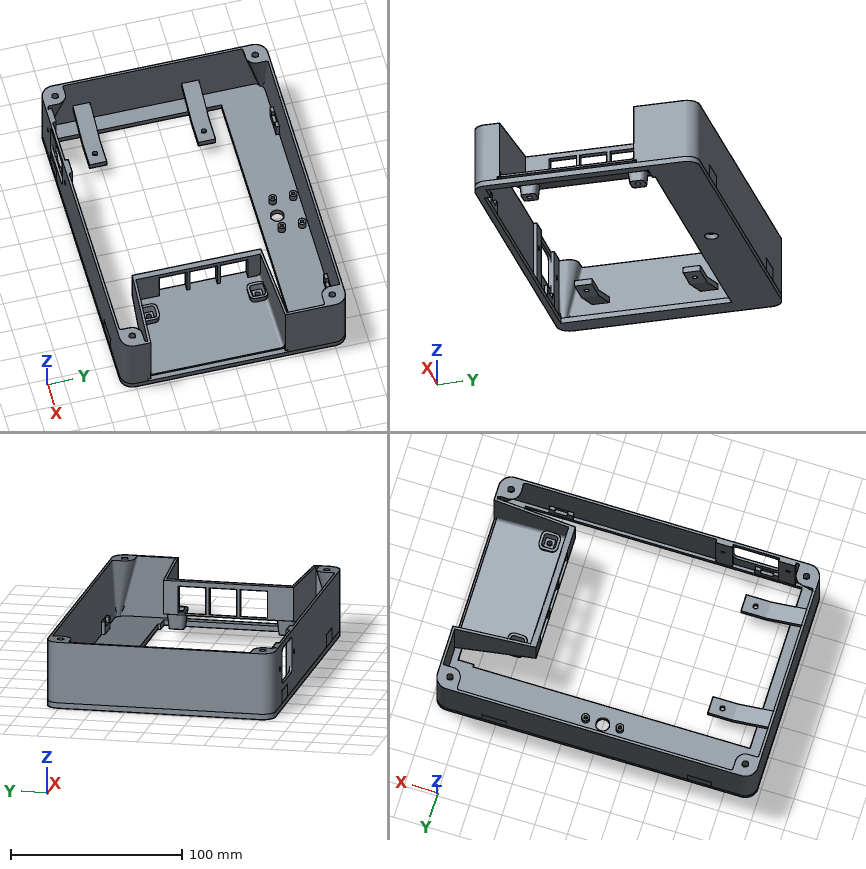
import cadquery as cq
import math

LENGTH = 196.0
WIDTH = 136.0
HEIGHT = 40.0
CORNER_RADIUS = 7.6
WALL = 1.5
BASE_THICKNESS = 3.3

OUTER_X = LENGTH / 2
OUTER_Y = WIDTH / 2
INNER_X = OUTER_X - WALL
INNER_Y = OUTER_Y - WALL
CUT_MARGIN = 9.8

OPENING_LEFT = -86.5
OPENING_RIGHT = 83.0
OPENING_FRONT = -64.5
OPENING_BACK = 39.0
SIDE_OPENING_RIGHT = 92.5
SIDE_OPENING_FRONT = -60.8
SIDE_OPENING_BACK = 37.5
CABLE_HOLE_DIAMETER = 8.0
CABLE_HOLE_Y = 50.4
STANDOFF_DIAMETER = 4.5
STANDOFF_BORE = 2.0
STANDOFF_HEIGHT = 4.0
STANDOFF_SPACING_X = 21.0
STANDOFF_SPACING_Y = 12.3

POST_TOP_REACH = 12.2
POST_FOOT_REACH = 2.5
POST_TOP_ROUNDING = 6.0
POST_FOOT_ROUNDING = 1.0
POST_FLARE = 1.2
POST_BORE = 3.7
POST_BORE_DEPTH = 9.8

INLET_CENTER_X = -57.8
INLET_CENTER_Z = 25.7
INLET_WIDTH = 28.2
INLET_HEIGHT = 21.4
INLET_ROUNDING = 3.0
INLET_SCREW_SPACING = 39.8
INLET_SCREW_DIAMETER = 2.5
INLET_PAD_WIDTH = 10.2

CLIP_CENTERS_X = (-64.7, 61.2)
CLIP_WIDTH = 14.7
CLIP_HEIGHT = 7.6
CLIP_PROJECTION = 2.0
CLIP_NOTCH_WIDTH = 7.6
CLIP_NOTCH_DEPTH = 3.5

SUPPORT_CENTERS_Y = (22.7, -43.0)
SUPPORT_BOTTOM = 8.0
SUPPORT_SCREW_DIAMETER = 3.0
ARM_WIDTH = 10.4
ARM_PAD_LEFT = -72.7
ARM_PAD_RIGHT = -57.2
ARM_HOLE_X = -64.7
ARM_THICKNESS = 3.5

TRAY_LEFT = 47.6
TRAY_CENTER_Y = -10.5
TRAY_LEFT_WIDTH = 77.6
TRAY_RIGHT_WIDTH = 84.3
TRAY_PANEL_THICKNESS = 3.7
RAMP_HIGH = 20.8
RAMP_LOW = 6.7
RAMP_THICKNESS = 1.2
RAMP_LEFT = TRAY_LEFT + TRAY_PANEL_THICKNESS
RAMP_SLOPE = (RAMP_HIGH - RAMP_LOW) / (INNER_X - TRAY_LEFT)
TRAY_FILLET = 2.0
PORT_WIDTH = 16.5
PORT_PITCH = 18.5
PORT_TOP = 36.9
PORT_CENTER_Y = -7.3
WELL_X = 61.4
WELL_WIDTH = 11.5
WELL_ROUNDING = 3.3
WELL_TOP = 19.5
WELL_FOOT_WIDTH = 8.8
WELL_FLOOR = 7.6
WELL_POCKET_WIDTH = 8.2
WELL_POCKET_FOOT = 5.9
WELL_POCKET_ROUNDING = 1.8


def box(x0, x1, y0, y1, z0, z1):
    """Axis-aligned box between two opposite corners."""
    return cq.Workplane("XY").box(x1 - x0, y1 - y0, z1 - z0, centered=False).translate((x0, y0, z0))


def rounded_block(inset, bottom, top):
    """Block with the frame's rounded outline, moved inward by the inset."""
    return (
        cq.Workplane("XY").workplane(offset=bottom)
        .rect(LENGTH - 2 * inset, WIDTH - 2 * inset)
        .extrude(top - bottom)
        .edges("|Z").fillet(CORNER_RADIUS - inset)
    )


def make_base():
    plate = rounded_block(0, 0, BASE_THICKNESS)
    main_opening = box(
        OPENING_LEFT, OPENING_RIGHT, OPENING_FRONT, OPENING_BACK, -CUT_MARGIN, CUT_MARGIN
    )
    side_opening = box(
        0, SIDE_OPENING_RIGHT, SIDE_OPENING_FRONT, SIDE_OPENING_BACK, -CUT_MARGIN, CUT_MARGIN
    )
    cable_hole = (
        cq.Workplane("XY").center(0, CABLE_HOLE_Y)
        .circle(CABLE_HOLE_DIAMETER / 2).extrude(BASE_THICKNESS)
    )
    standoffs = (
        cq.Workplane("XY").workplane(offset=BASE_THICKNESS)
        .center(0, CABLE_HOLE_Y + STANDOFF_SPACING_Y / 2)
        .rarray(STANDOFF_SPACING_X, STANDOFF_SPACING_Y, 2, 2)
        .circle(STANDOFF_DIAMETER / 2).circle(STANDOFF_BORE / 2)
        .extrude(STANDOFF_HEIGHT)
    )
    return plate.cut(main_opening).cut(side_opening).cut(cable_hole).union(standoffs)


def post_section(plane, reach, rounding):
    """Outline of the back right post: a square with a rounded free corner and flared ends."""
    left = INNER_X - reach
    front = INNER_Y - reach
    convex = rounding * (1 - math.sqrt(0.5))
    near = POST_FLARE * (1 - math.sqrt(0.5))
    return (
        plane.moveTo(left - POST_FLARE, INNER_Y)
        .threePointArc((left - near, INNER_Y - near), (left, INNER_Y - POST_FLARE))
        .lineTo(left, front + rounding)
        .threePointArc((left + convex, front + convex), (left + rounding, front))
        .lineTo(INNER_X - POST_FLARE, front)
        .threePointArc((INNER_X - near, front - near), (INNER_X, front - POST_FLARE))
        .lineTo(INNER_X, INNER_Y)
        .close()
    )


def make_post():
    """Back right corner post, tapering down into the rounded corner, with a blind screw bore."""
    foot = post_section(
        cq.Workplane("XY").workplane(offset=BASE_THICKNESS), POST_FOOT_REACH, POST_FOOT_ROUNDING
    )
    taper = post_section(
        foot.workplane(offset=HEIGHT - BASE_THICKNESS), POST_TOP_REACH, POST_TOP_ROUNDING
    ).loft(ruled=True)
    post = taper.intersect(rounded_block(WALL, BASE_THICKNESS, HEIGHT))
    bore = (
        cq.Workplane("XY").workplane(offset=HEIGHT - POST_BORE_DEPTH)
        .center(OUTER_X - CORNER_RADIUS, OUTER_Y - CORNER_RADIUS)
        .circle(POST_BORE / 2).extrude(POST_BORE_DEPTH)
    )
    return post.cut(bore)


def add_posts(walls):
    right_back = make_post()
    right_front = right_back.mirror("XZ")
    for post in (right_back, right_front):
        walls = walls.union(post).union(post.mirror("YZ"))
    return walls


def inlet_plane():
    """Plane inside the frame, facing out through the front wall, centred on the power inlet."""
    return cq.Workplane("XZ", origin=(INLET_CENTER_X, -OUTER_Y + CUT_MARGIN, INLET_CENTER_Z))


def add_power_inlet(walls):
    """Inlet window with a screw pad on either side, behind the front wall."""
    for side in (-1, 1):
        near = INLET_CENTER_X + side * INLET_WIDTH / 2
        far = near + side * INLET_PAD_WIDTH
        pad = box(
            min(near, far), max(near, far), -INNER_Y, OPENING_FRONT, BASE_THICKNESS, HEIGHT
        )
        walls = walls.union(pad)
    window = (
        inlet_plane().rect(INLET_WIDTH, INLET_HEIGHT)
        .extrude(2 * CUT_MARGIN).edges("|Y").fillet(INLET_ROUNDING)
    )
    screws = (
        inlet_plane().rarray(INLET_SCREW_SPACING, 2, 2, 1)
        .circle(INLET_SCREW_DIAMETER / 2).extrude(2 * CUT_MARGIN)
    )
    return walls.cut(window).cut(screws)


def tray_block(inset, left, right):
    """Full-height block with the tray's slanted sides moved inward, between two X positions."""
    half_left = TRAY_LEFT_WIDTH / 2 - inset
    half_right = TRAY_RIGHT_WIDTH / 2 - inset
    trapezoid = (
        cq.Workplane("XY").workplane(offset=BASE_THICKNESS)
        .moveTo(TRAY_LEFT, TRAY_CENTER_Y - half_left)
        .lineTo(OUTER_X, TRAY_CENTER_Y - half_right)
        .lineTo(OUTER_X, TRAY_CENTER_Y + half_right)
        .lineTo(TRAY_LEFT, TRAY_CENTER_Y + half_left)
        .close().extrude(HEIGHT - BASE_THICKNESS)
    )
    return trapezoid.intersect(box(left, right, -OUTER_Y, OUTER_Y, 0, HEIGHT))


def below_ramp(drop):
    """Everything under the ramp surface lowered by the drop, from end to end of the tray."""
    end_rise = (OUTER_X - INNER_X) * RAMP_SLOPE
    return (
        cq.Workplane("XZ", origin=(0, OUTER_Y, 0))
        .moveTo(TRAY_LEFT, 0)
        .lineTo(TRAY_LEFT, RAMP_HIGH - drop)
        .lineTo(OUTER_X, RAMP_LOW - end_rise - drop)
        .lineTo(OUTER_X, 0)
        .close().extrude(WIDTH)
    )


def make_tray():
    """Open tray: two slanted side walls, a sloped ramp and a panel with three port openings."""
    body = tray_block(0, TRAY_LEFT, OUTER_X).cut(below_ramp(RAMP_THICKNESS))
    above_ramp = tray_block(WALL, TRAY_LEFT, OUTER_X).cut(below_ramp(0))
    ramp_sides = cq.selectors.BoxSelector(
        (RAMP_LEFT, -OUTER_Y, RAMP_LOW), (INNER_X, OUTER_Y, RAMP_HIGH)
    )
    above_ramp = above_ramp.edges(ramp_sides).fillet(TRAY_FILLET)
    hollow = above_ramp.intersect(box(RAMP_LEFT, OUTER_X, -OUTER_Y, OUTER_Y, 0, HEIGHT))
    doorway = tray_block(WALL, INNER_X, OUTER_X)
    tray = body.cut(hollow).cut(doorway)
    for index in (-1, 0, 1):
        port_y = PORT_CENTER_Y + index * PORT_PITCH
        port = box(
            TRAY_LEFT, RAMP_LEFT, port_y - PORT_WIDTH / 2, port_y + PORT_WIDTH / 2, 0, PORT_TOP
        )
        tray = tray.cut(port.cut(below_ramp(0)))
    return tray


def tapered_plug(y, width, foot_width, rounding, depth):
    """Rounded square plug hanging from the well's rim and narrowing evenly toward its foot."""
    draft = math.degrees(math.atan((width - foot_width) / 2 / depth))
    rim = cq.Sketch().rect(width, width).vertices().fillet(rounding)
    return (
        cq.Workplane("XY", origin=(WELL_X, y, WELL_TOP))
        .placeSketch(rim).extrude(-depth, taper=draft)
    )


def add_well(walls, y):
    """Tapered well through the ramp, with a screw pocket and a screw hole through its floor."""
    height = WELL_TOP - SUPPORT_BOTTOM
    well = tapered_plug(y, WELL_WIDTH, WELL_FOOT_WIDTH, WELL_ROUNDING, height)
    pocket = tapered_plug(
        y, WELL_POCKET_WIDTH, WELL_POCKET_FOOT, WELL_POCKET_ROUNDING, height - WELL_FLOOR
    )
    hole = (
        cq.Workplane("XY", origin=(WELL_X, y, SUPPORT_BOTTOM))
        .circle(SUPPORT_SCREW_DIAMETER / 2).extrude(WELL_FLOOR)
    )
    return walls.union(well).cut(pocket).cut(hole)


def clip_seat(x, side):
    """Box that a clip fills: through the wall and inward past it. Side is +1 for the back wall."""
    outer = side * OUTER_Y
    inner = side * (INNER_Y - CLIP_PROJECTION)
    return box(
        x - CLIP_WIDTH / 2, x + CLIP_WIDTH / 2, min(outer, inner), max(outer, inner),
        BASE_THICKNESS, BASE_THICKNESS + CLIP_HEIGHT,
    )


def make_clip(x, side):
    face = side * INNER_Y
    inside = side * (INNER_Y - CLIP_PROJECTION)
    top = BASE_THICKNESS + CLIP_HEIGHT
    notch = box(
        x - CLIP_NOTCH_WIDTH / 2, x + CLIP_NOTCH_WIDTH / 2, min(face, inside), max(face, inside),
        top - CLIP_NOTCH_DEPTH, top,
    )
    return clip_seat(x, side).cut(notch)


def make_walls():
    walls = rounded_block(0, BASE_THICKNESS, HEIGHT).cut(rounded_block(WALL, BASE_THICKNESS, HEIGHT))
    walls = add_posts(walls)
    walls = add_power_inlet(walls)
    walls = walls.cut(tray_block(0, INNER_X, OUTER_X)).union(make_tray())
    for y in SUPPORT_CENTERS_Y:
        walls = add_well(walls, y)
    for x in CLIP_CENTERS_X:
        for side in (-1, 1):
            walls = walls.cut(clip_seat(x, side))
    return walls


def make_arm(y):
    """Support arm: slopes down from the left wall at the ramp's angle, then a flat screw pad."""
    rise = (ARM_PAD_LEFT + INNER_X) * RAMP_SLOPE
    arm = (
        cq.Workplane("XZ", origin=(0, y + ARM_WIDTH / 2, 0))
        .moveTo(-INNER_X, SUPPORT_BOTTOM + rise)
        .lineTo(ARM_PAD_LEFT, SUPPORT_BOTTOM)
        .lineTo(ARM_PAD_RIGHT, SUPPORT_BOTTOM)
        .lineTo(ARM_PAD_RIGHT, SUPPORT_BOTTOM + ARM_THICKNESS)
        .lineTo(ARM_PAD_LEFT, SUPPORT_BOTTOM + ARM_THICKNESS)
        .lineTo(-INNER_X, SUPPORT_BOTTOM + ARM_THICKNESS + rise)
        .close().extrude(ARM_WIDTH)
    )
    hole = (
        cq.Workplane("XY", origin=(ARM_HOLE_X, y, SUPPORT_BOTTOM))
        .circle(SUPPORT_SCREW_DIAMETER / 2).extrude(ARM_THICKNESS)
    )
    return arm.cut(hole)


base = make_base()
walls = make_walls()
clips = [make_clip(x, side).val() for x in CLIP_CENTERS_X for side in (-1, 1)]
arms = [make_arm(y).val() for y in SUPPORT_CENTERS_Y]

result = cq.Compound.makeCompound([base.val(), walls.val(), *clips, *arms])